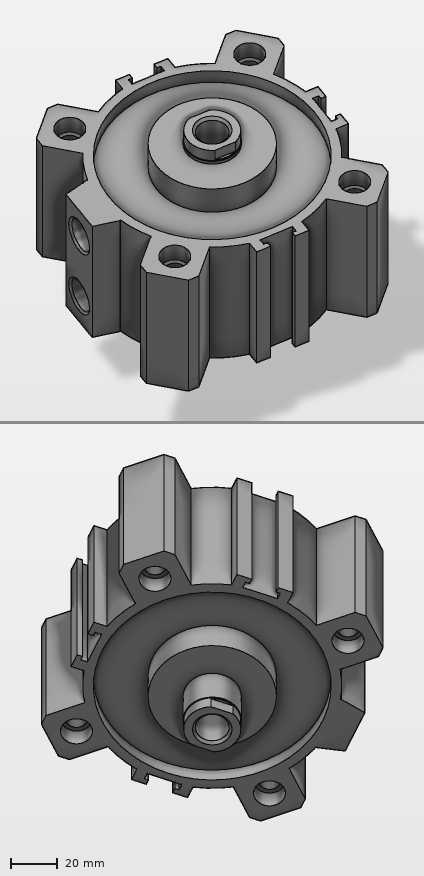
import cadquery as cq
import math

body_height = 67.5
square_half = 60.0
barrel_radius = 55.5
cover_recess_radius = 50.9
cover_recess_depth = 6.9
hub_radius = 27.5
hub_rise = 7.2

arm_width = 26.0
arm_angle = 45
arm_reach = 75.5
mount_hole_offset = 44.6
mount_hole_radius = 4.8
counterbore_radius = 6.8
counterbore_depth = 9.0

rail_width = 26.0
slot_floor = 54.4
slot_mouth_width = 12.2
slot_inner_width = 16.0
slot_lip = 2.5

lug_front = 66.0
lug_front_width = 22.4
lug_root = 53.9
lug_root_width = 28.2

port_offset = 18.3
port_radius = 7.8
port_mouth_radius = 8.8
port_depth = 15.1

rod_radius = 12.5
rod_top_reach = 8.1
rod_bottom_reach = 23.0
rod_end_radius = 12.2
rod_end_length = 6.2
rod_shoulder_chamfer = rod_radius - rod_end_radius
flat_length = 5.7
flat_half_width = 11.1
rod_hole_radius = 7.2
rod_hole_mouth_radius = 8.5
rod_hole_depth = 30.2
drill_point_angle = 118

body_top = body_height / 2
body_bottom = -body_top
hub_top = body_top + hub_rise
hub_bottom = -hub_top
rod_top = hub_top + rod_top_reach
rod_bottom = hub_bottom - rod_bottom_reach
full_turn = 360


def upright_cylinder(radius, bottom, top):
    """Cylinder on the Z axis between two heights."""
    return cq.Workplane("XY").workplane(offset=bottom).circle(radius).extrude(top - bottom)


def make_barrel_prism(outline):
    """Prism with the full barrel height over an outline of points."""
    return cq.Workplane("XY").workplane(offset=body_bottom).polyline(outline).close().extrude(body_height)


def make_arm_cross():
    """Four diagonal arms with their tip corners cut off by the enclosing square."""
    cross = cq.Workplane("XY").box(2 * arm_reach, arm_width, body_height)
    cross = cross.union(cq.Workplane("XY").box(arm_width, 2 * arm_reach, body_height))
    cross = cross.rotate((0, 0, 0), (0, 0, 1), arm_angle)
    square = cq.Workplane("XY").box(2 * square_half, 2 * square_half, body_height)
    return cross.intersect(square)


def make_rail():
    """Sensor rail block on the +Y side, reaching in to the axis."""
    return make_barrel_prism([
        (-rail_width / 2, 0),
        (-rail_width / 2, square_half),
        (rail_width / 2, square_half),
        (rail_width / 2, 0),
    ])


def make_rail_slot():
    """T-slot of the rail on the +Y side."""
    mouth = slot_mouth_width / 2
    inner = slot_inner_width / 2
    lip_inside = square_half - slot_lip
    return make_barrel_prism([
        (-mouth, square_half),
        (-mouth, lip_inside),
        (-inner, lip_inside),
        (-inner, slot_floor),
        (inner, slot_floor),
        (inner, lip_inside),
        (mouth, lip_inside),
        (mouth, square_half),
    ])


def make_lug():
    """Tapered port lug on the -Y side, reaching in to the axis."""
    return make_barrel_prism([
        (0, 0),
        (-lug_root_width / 2, -lug_root),
        (-lug_front_width / 2, -lug_front),
        (lug_front_width / 2, -lug_front),
        (lug_root_width / 2, -lug_root),
    ])


def make_port(height):
    """Blind port with a chamfered mouth, entering from the lug front."""
    chamfer = port_mouth_radius - port_radius
    profile = [
        (0, -lug_front),
        (port_mouth_radius, -lug_front),
        (port_radius, -lug_front + chamfer),
        (port_radius, -lug_front + port_depth),
        (0, -lug_front + port_depth),
    ]
    port = cq.Workplane("XY").polyline(profile).close().revolve(full_turn, (0, 0, 0), (0, 1, 0))
    return port.translate((0, 0, height))


def make_mount_holes():
    """Four through holes, counterbored at both ends."""
    spacing = 2 * mount_hole_offset
    holes = (
        cq.Workplane("XY").workplane(offset=body_bottom)
        .rarray(spacing, spacing, 2, 2).circle(mount_hole_radius).extrude(body_height)
    )
    for bottom in (body_bottom, body_top - counterbore_depth):
        counterbores = (
            cq.Workplane("XY").workplane(offset=bottom)
            .rarray(spacing, spacing, 2, 2).circle(counterbore_radius).extrude(counterbore_depth)
        )
        holes = holes.union(counterbores)
    return holes


def make_housing():
    housing = upright_cylinder(barrel_radius, body_bottom, body_top)
    housing = housing.union(make_arm_cross())
    housing = housing.union(make_lug())
    for angle in (-90, 0, 90):
        rail = make_rail().rotate((0, 0, 0), (0, 0, 1), angle)
        slot = make_rail_slot().rotate((0, 0, 0), (0, 0, 1), angle)
        housing = housing.union(rail).cut(slot)

    housing = housing.cut(upright_cylinder(cover_recess_radius, body_top - cover_recess_depth, body_top))
    housing = housing.cut(upright_cylinder(cover_recess_radius, body_bottom, body_bottom + cover_recess_depth))
    housing = housing.union(upright_cylinder(hub_radius, hub_bottom, hub_top))

    housing = housing.cut(make_mount_holes())
    for height in (-port_offset, port_offset):
        housing = housing.cut(make_port(height))
    return housing.cut(upright_cylinder(rod_radius, hub_bottom, hub_top))


def make_rod_end_hole():
    """Drilled hole with a chamfered mouth and a conical floor, going down from the origin."""
    chamfer = rod_hole_mouth_radius - rod_hole_radius
    point_length = rod_hole_radius / math.tan(math.radians(drill_point_angle / 2))
    profile = [
        (0, 0),
        (rod_hole_mouth_radius, 0),
        (rod_hole_radius, -chamfer),
        (rod_hole_radius, -rod_hole_depth),
        (0, -rod_hole_depth - point_length),
    ]
    return cq.Workplane("XZ").polyline(profile).close().revolve(full_turn, (0, 0, 0), (0, 1, 0))


def make_rod_end_flats():
    """Material removed by the two wrench flats of an end face at the origin, going down."""
    block_depth = rod_radius - flat_half_width
    centre_x = (rod_radius + flat_half_width) / 2
    return (
        cq.Workplane("XY").pushPoints([(-centre_x, 0), (centre_x, 0)])
        .rect(block_depth, 2 * rod_radius).extrude(-flat_length)
    )


def make_rod():
    """Through rod with a stepped, flattened and drilled end on both sides."""
    lower_step = rod_bottom + rod_end_length
    upper_step = rod_top - rod_end_length
    profile = [
        (0, rod_bottom),
        (rod_end_radius, rod_bottom),
        (rod_end_radius, lower_step),
        (rod_radius, lower_step + rod_shoulder_chamfer),
        (rod_radius, upper_step - rod_shoulder_chamfer),
        (rod_end_radius, upper_step),
        (rod_end_radius, rod_top),
        (0, rod_top),
    ]
    rod = cq.Workplane("XZ").polyline(profile).close().revolve(full_turn, (0, 0, 0), (0, 1, 0))
    end_cut = make_rod_end_hole().union(make_rod_end_flats())
    rod = rod.cut(end_cut.translate((0, 0, rod_top)))
    return rod.cut(end_cut.mirror("XY").translate((0, 0, rod_bottom)))


housing = make_housing()
rod = make_rod()
result = cq.Compound.makeCompound([housing.val(), rod.val()])